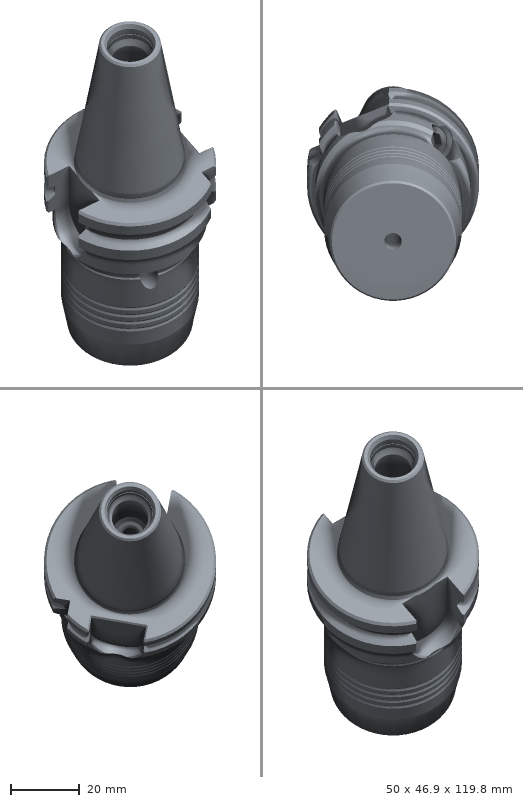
import cadquery as cq
import math

total_height = 119.8
gauge_z = 72.0
flange_top_z = 68.8
flange_bottom_z = 52.8
collar_bottom_z = 44.7
neck_fillet_end_z = 41.5
barrel_top_z = 39.9
nose_cone_top_z = 11.5

taper_top_radius = 9.0
gauge_diameter = 31.7
gauge_radius = gauge_diameter / 2
undercut_radius = 15.6
undercut_z = 69.7
flange_diameter = 50.0
flange_radius = flange_diameter / 2
flange_groove_radius = 22.2
collar_radius = 22.5
neck_radius = 19.3
barrel_radius = 20.0
nose_radius = 18.3

taper_top_chamfer = 0.6
gauge_land = 1.8
flange_chamfer = 0.7
collar_chamfer_width = 1.2
collar_chamfer_height = 0.8
barrel_chamfer = 0.4
nose_chamfer = 0.6
neck_bulge = 0.3
flange_foot_radius = 16.3

flange_groove_z = 61.0
flange_groove_root_width = 3.5
flange_groove_mouth_width = 6.8

barrel_groove_count = 4
barrel_groove_pitch = 3.0
barrel_groove_width = 1.4
barrel_groove_depth = 0.4
lowest_barrel_groove_z = 18.0

bore_mouth_radius = 7.4
bore_radius = 6.7
bore_step_radius = 6.6
bore_step_depth = 3.6
bore_mouth_depth = 1.3
thread_radius = 5.3
thread_start_depth = 7.1
bore_cone_start_depth = 5.4
thread_end_depth = 24.0
ledge_radius = 4.2
ledge_depth = 25.2
coolant_mouth_radius = 3.1
coolant_radius = 2.5

slot_width = 16.2
slot_end_z = 43.8
front_slot_floor = 15.8
rear_slot_floor = 18.8
slot_edge_chamfer = 0.5
notch_corner = 15.0

screw_hole_y = 8.3
screw_hole_tilt = 52.0
screw_mouth_x = -20.4
screw_mouth_z = 46.0
pocket_radius = 5.4
pocket_depth = 5.2
pocket_cone_length = 1.1
screw_radius = 4.4
screw_recess = 0.4
screw_face_depth = pocket_depth + pocket_cone_length + screw_recess
screw_length = 9.6
hex_across_flats = 5.2
hex_turn = 15.0
hex_depth = 3.6

bleed_hole_tilt = 58.0
bleed_hole_radius = 2.8
bleed_hole_y = -5.8
bleed_mouth_x = 20.0
bleed_mouth_z = 38.6
bleed_hole_depth = 7.2

tolerance = 0.01
beyond = 12.0


def revolve_about_axis(outline):
    return outline.close().revolve(360, (0, 0, 0), (0, 1, 0))


def outer_body():
    groove_top = flange_groove_z + flange_groove_mouth_width / 2
    groove_bottom = flange_groove_z - flange_groove_mouth_width / 2
    root_top = flange_groove_z + flange_groove_root_width / 2
    root_bottom = flange_groove_z - flange_groove_root_width / 2
    land_bottom_z = gauge_z - gauge_land
    neck_top_radius = collar_radius - collar_chamfer_width
    neck_top_z = collar_bottom_z - collar_chamfer_height
    neck_drop = neck_top_z - neck_fillet_end_z
    neck_run = neck_top_radius - neck_radius
    outline = (
        cq.Workplane("XZ")
        .moveTo(0, 0)
        .lineTo(nose_radius - nose_chamfer, 0)
        .lineTo(nose_radius, nose_chamfer)
        .lineTo(barrel_radius, nose_cone_top_z)
        .lineTo(barrel_radius, barrel_top_z - barrel_chamfer)
        .lineTo(barrel_radius - barrel_chamfer, barrel_top_z)
        .lineTo(neck_radius, neck_fillet_end_z)
        .threePointArc(
            (neck_radius + neck_bulge * neck_run, neck_fillet_end_z + (1 - neck_bulge) * neck_drop),
            (neck_top_radius, neck_top_z),
        )
        .lineTo(collar_radius, collar_bottom_z)
        .lineTo(collar_radius, flange_bottom_z)
        .lineTo(flange_radius - flange_chamfer, flange_bottom_z)
        .lineTo(flange_radius, flange_bottom_z + flange_chamfer)
        .lineTo(flange_radius, groove_bottom)
        .lineTo(flange_groove_radius, root_bottom)
        .lineTo(flange_groove_radius, root_top)
        .lineTo(flange_radius, groove_top)
        .lineTo(flange_radius, flange_top_z - flange_chamfer)
        .lineTo(flange_radius - flange_chamfer, flange_top_z)
        .lineTo(flange_foot_radius, flange_top_z)
        .lineTo(undercut_radius, undercut_z)
        .lineTo(gauge_radius, land_bottom_z)
        .lineTo(gauge_radius, gauge_z)
        .lineTo(taper_top_radius, total_height - taper_top_chamfer)
        .lineTo(taper_top_radius - taper_top_chamfer, total_height)
        .lineTo(0, total_height)
    )
    return revolve_about_axis(outline)


def barrel_groove(center_z):
    half_width = barrel_groove_width / 2
    outline = (
        cq.Workplane("XZ")
        .moveTo(barrel_radius, center_z - half_width)
        .lineTo(barrel_radius - barrel_groove_depth, center_z)
        .lineTo(barrel_radius, center_z + half_width)
    )
    return revolve_about_axis(outline)


def bore():
    coolant_start_depth = ledge_depth + coolant_mouth_radius - coolant_radius
    outline = (
        cq.Workplane("XZ")
        .moveTo(0, total_height)
        .lineTo(bore_mouth_radius, total_height)
        .lineTo(bore_radius, total_height - bore_mouth_depth)
        .lineTo(bore_radius, total_height - bore_step_depth)
        .lineTo(bore_step_radius, total_height - bore_step_depth)
        .lineTo(bore_step_radius, total_height - bore_cone_start_depth)
        .lineTo(thread_radius, total_height - thread_start_depth)
        .lineTo(thread_radius, total_height - thread_end_depth)
        .lineTo(ledge_radius, total_height - ledge_depth)
        .lineTo(coolant_mouth_radius, total_height - ledge_depth)
        .lineTo(coolant_radius, total_height - coolant_start_depth)
        .lineTo(coolant_radius, 0)
        .lineTo(0, 0)
    )
    return revolve_about_axis(outline)


def drive_slot(side, floor):
    """Round-ended slot open at the flange top; side is +1 for +Y and -1 for -Y."""
    radius = slot_width / 2
    top_z = flange_top_z
    reach = flange_radius + beyond - floor
    end_center_z = slot_end_z + radius
    plane = cq.Plane(origin=(0, side * floor, 0), xDir=(1, 0, 0), normal=(0, -1, 0))
    return (
        cq.Workplane(plane)
        .moveTo(-radius, top_z)
        .lineTo(-radius, end_center_z)
        .threePointArc((0, slot_end_z), (radius, end_center_z))
        .lineTo(radius, top_z)
        .close()
        .extrude(-side * reach)
    )


def is_collar_slot_edge(edge):
    """True for an edge where a drive slot opens through the collar surface."""
    edge_points = [edge.positionAt(part) for part in (0, 0.5, 1)]
    on_collar = all(abs(math.hypot(p.x, p.y) - collar_radius) < tolerance for p in edge_points)
    in_slot_width = all(abs(p.x) < slot_width / 2 + tolerance for p in edge_points)
    return on_collar and in_slot_width and edge.BoundingBox().zlen > tolerance


def chamfer_collar_slot_edges(body):
    slot_edges = [edge for edge in body.edges().vals() if is_collar_slot_edge(edge)]
    return body.newObject(slot_edges).chamfer(slot_edge_chamfer)


def rim_flare(side):
    """45 degree flare that breaks the slot edges on the flange rims."""
    half_width = slot_width / 2
    mouth_half_width = half_width + slot_edge_chamfer
    rim_y = math.sqrt(flange_radius**2 - mouth_half_width**2)
    start_y = rim_y - slot_edge_chamfer
    end_y = start_y + beyond
    return (
        cq.Workplane("XY")
        .workplane(offset=flange_bottom_z)
        .moveTo(-half_width, side * start_y)
        .lineTo(half_width, side * start_y)
        .lineTo(half_width + beyond, side * end_y)
        .lineTo(-half_width - beyond, side * end_y)
        .close()
        .extrude(flange_top_z - flange_bottom_z)
    )


def rear_slot_top_flare():
    """45 degree flare that breaks the rear slot edges on the flange top."""
    return (
        cq.Workplane("XY")
        .workplane(offset=flange_top_z - slot_edge_chamfer)
        .center(0, rear_slot_floor + beyond / 2)
        .rect(slot_width, beyond)
        .extrude(slot_edge_chamfer, taper=-45)
    )


def orientation_notch():
    height = flange_top_z - flange_bottom_z
    return cq.Workplane("XY").box(beyond, beyond, height, centered=False).translate(
        (notch_corner, notch_corner, flange_bottom_z)
    )


def inclined_plane(mouth_x, y, mouth_z, tilt_angle):
    """Plane at a hole mouth, its normal rising at the hole tilt towards the tool axis."""
    tilt = math.radians(tilt_angle)
    inward = -math.copysign(1, mouth_x)
    normal = (inward * math.cos(tilt), 0, math.sin(tilt))
    return cq.Plane(origin=(mouth_x, y, mouth_z), xDir=(0, 1, 0), normal=normal)


def screw_plane():
    return inclined_plane(screw_mouth_x, screw_hole_y, screw_mouth_z, screw_hole_tilt)


def screw_hole():
    """Pocket, cone and screw seat as one stepped, inclined cutting body."""
    seat_end = screw_face_depth + screw_length
    outline = (
        cq.Workplane("XZ")
        .moveTo(0, -beyond)
        .lineTo(pocket_radius, -beyond)
        .lineTo(pocket_radius, pocket_depth)
        .lineTo(screw_radius, pocket_depth + pocket_cone_length)
        .lineTo(screw_radius, seat_end)
        .lineTo(0, seat_end)
    )
    upright = revolve_about_axis(outline).val()
    return cq.Workplane(upright.moved(cq.Location(screw_plane())))


def clamping_screw():
    """Plain cylindrical screw with a hexagon socket in its outer end."""
    face = cq.Workplane(screw_plane()).workplane(offset=screw_face_depth)
    shank = face.circle(screw_radius).extrude(screw_length)
    hex_diameter = hex_across_flats / math.cos(math.pi / 6)
    socket = face.transformed(rotate=(0, 0, hex_turn)).polygon(6, hex_diameter).extrude(hex_depth)
    return shank.cut(socket)


def bleed_hole():
    plane = inclined_plane(bleed_mouth_x, bleed_hole_y, bleed_mouth_z, bleed_hole_tilt)
    return (
        cq.Workplane(plane)
        .workplane(offset=-beyond)
        .circle(bleed_hole_radius)
        .extrude(beyond + bleed_hole_depth)
    )


def holder_body():
    body = outer_body().cut(bore())
    for index in range(barrel_groove_count):
        body = body.cut(barrel_groove(lowest_barrel_groove_z + index * barrel_groove_pitch))
    body = body.cut(drive_slot(-1, front_slot_floor))
    body = body.cut(drive_slot(1, rear_slot_floor))
    body = chamfer_collar_slot_edges(body)
    for side in (-1, 1):
        body = body.cut(rim_flare(side))
    body = body.cut(rear_slot_top_flare())
    body = body.cut(orientation_notch())
    body = body.cut(screw_hole())
    return body.cut(bleed_hole())


holder = holder_body()
screw = clamping_screw()

result = cq.Compound.makeCompound([holder.val(), screw.val()])